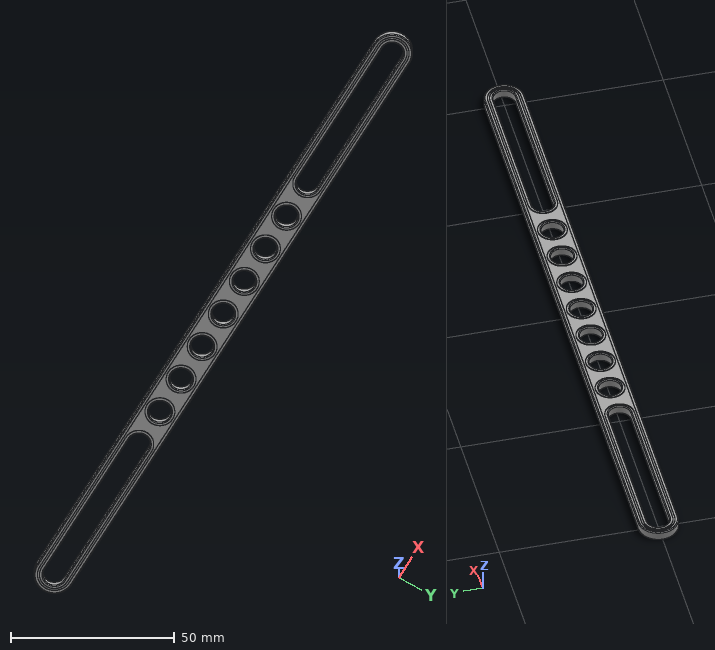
import cadquery as cq

length = 212.5
thickness = 3.2
pitch_count = 17
hole_count = 7
hole_diameter = 7.0
collar_diameter = 9.1
rim_width = 1.0
recess_depth = 0.25
edge_chamfer = 0.32

pitch = length / pitch_count
width = pitch
first_hole_x = -(hole_count - 1) / 2 * pitch
hole_positions = [(first_hole_x + i * pitch, 0) for i in range(hole_count)]

slot_inner_x = (hole_count + 1) / 2 * pitch
slot_outer_x = (length - width) / 2
slot_center_x = (slot_inner_x + slot_outer_x) / 2
slot_travel = slot_outer_x - slot_inner_x
slot_positions = [(-slot_center_x, 0), (slot_center_x, 0)]


def make_bar():
    """Flat bar with round ends, standing on the XY plane."""
    return cq.Workplane("XY").slot2D(length, width).extrude(thickness)


def make_opening_prisms(diameter):
    """Full-height prisms of the given width at every hole and slot."""
    holes = cq.Workplane("XY").pushPoints(hole_positions).circle(diameter / 2).extrude(thickness)
    slots = (
        cq.Workplane("XY")
        .pushPoints(slot_positions)
        .slot2D(slot_travel + diameter, diameter)
        .extrude(thickness)
    )
    return holes.union(slots)


def make_recess(bottom_z):
    """Shallow pocket inside the rim that leaves the collars standing."""
    pocket = (
        cq.Workplane("XY", origin=(0, 0, bottom_z))
        .slot2D(length - 2 * rim_width, width - 2 * rim_width)
        .extrude(recess_depth)
    )
    return pocket.cut(make_opening_prisms(collar_diameter))


bar = make_bar().cut(make_opening_prisms(hole_diameter))
bar = bar.faces("|Z").edges().chamfer(edge_chamfer)

for recess_z in (0, thickness - recess_depth):
    bar = bar.cut(make_recess(recess_z))

result = bar.translate((0, 0, -thickness / 2))